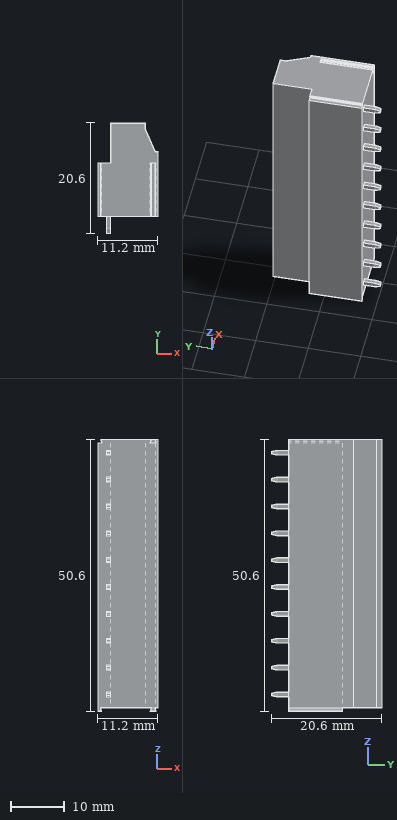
import cadquery as cq

width = 11.2
total_depth = 20.55
total_height = 50.65
rail_height = 0.65
pole_count = 10

base_depth = 10.05
housing_depth = 17.4
left_step = 2.4
upper_right = 8.8
shoulder_right = 10.7
shoulder_y = 12.1
slope_top_y = 16.35

edge_neck = 0.5
dovetail_left_neck = width - 1.25
dovetail_right_neck = width - 0.55
undercut = 0.2

lip_width = 0.1
lip_height = 0.15
knee_undercut = 0.15
knee_height = 0.25

pin_width = 0.8
pin_height = 0.9
pin_tip_length = 0.95
pin_tip_width = 0.75
pin_tip_height = 0.45
pin_x = 2.0

body_height = total_height - rail_height
pitch = body_height / pole_count
pin_length = total_depth - housing_depth


def extrude_along_base(profile):
    """Run an XZ profile from the pin face to the back of the base."""
    return cq.Workplane("XZ").polyline(profile).close().extrude(-base_depth)


def housing():
    """Stepped block with a sloped shoulder, standing above the rails."""
    outline = [
        (0, 0),
        (width, 0),
        (width, shoulder_y),
        (shoulder_right, shoulder_y),
        (upper_right, slope_top_y),
        (upper_right, housing_depth),
        (left_step, housing_depth),
        (left_step, base_depth),
        (0, base_depth),
    ]
    return cq.Workplane("XY").workplane(offset=rail_height).polyline(outline).close().extrude(body_height)


def rail_wall(neck_x, outward):
    """Foot-to-neck points of a rail wall; outward is +1 or -1 along X."""
    return [(neck_x + outward * undercut, 0), (neck_x, rail_height)]


def groove_wall(neck_x, outward):
    """Floor-to-top points of a groove wall; outward is +1 or -1 along X."""
    return [
        (neck_x + outward * undercut, body_height),
        (neck_x + outward * knee_undercut, body_height + knee_height),
        (neck_x, total_height - lip_height),
        (neck_x + outward * lip_width, total_height),
    ]


def edge_and_dovetail(wall, low_z, high_z):
    """Half-dovetail along the -X edge and full dovetail near the +X edge, with the given wall shape."""
    edge = extrude_along_base([(0, high_z), (0, low_z)] + wall(edge_neck, 1))
    left_wall = wall(dovetail_left_neck, -1)
    right_wall = wall(dovetail_right_neck, 1)
    dovetail = extrude_along_base(left_wall + right_wall[::-1])
    return edge.add(dovetail).combine()


def pin(z):
    """Rectangular pin out of the pin face, with a tapered tip."""
    shank_length = pin_length - pin_tip_length
    shank = cq.Workplane("XZ", origin=(pin_x, 0, z)).rect(pin_width, pin_height).extrude(shank_length)
    tip = (
        cq.Workplane("XZ", origin=(pin_x, -shank_length, z))
        .rect(pin_width, pin_height)
        .workplane(offset=pin_tip_length)
        .rect(pin_tip_width, pin_tip_height)
        .loft(ruled=True)
    )
    return shank.union(tip)


result = housing()
result = result.union(edge_and_dovetail(rail_wall, 0, rail_height))
result = result.cut(edge_and_dovetail(groove_wall, body_height, total_height))

for pole in range(pole_count):
    result = result.union(pin(rail_height + (pole + 0.5) * pitch))